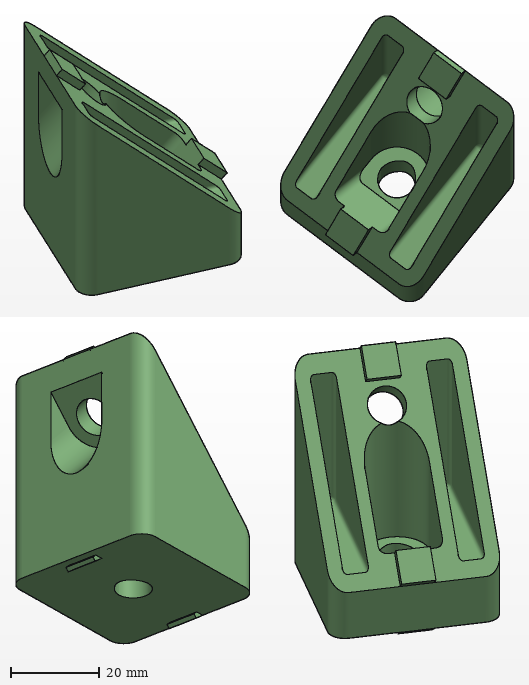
import cadquery as cq
import math

overall_height = 55.1
width = 40.0
depth = 40.0
corner_radius = 4.0

key_size = 8.0
key_thickness = 2.0

foot_drop = 1.7
foot_root = 2.15
foot_heel = 2.3
foot_tip_reach = 3.1
foot_tip_drop = 0.9
foot_pitch = 35.75

hole_diameter = 9.0
head_width = 15.0
slope_hole_distance = 14.0
slope_seat_thickness = 5.0
base_seat_thickness = 9.0
pocket_corner_radius = 2.0

hole_half_width = 4.35
hole_shoulder_offset = 0.4
hole_flank_half_width = 3.8
hole_flank_offset = 1.75
hole_nose_half_width = 2.3
hole_nose_offset = 3.5

slot_width = 6.0
slot_spacing = 27.0
slot_front = 3.45
slot_floor = 15.0
slot_radius = 1.0

diagonal = math.sqrt(0.5)
front_height = overall_height - foot_drop - key_thickness * diagonal
back_height = front_height - depth
slope_length = depth / diagonal


def slope_plane(distance):
    """Plane on the slope, at a distance down it from the top edge; local y points downhill."""
    along = distance * diagonal
    return cq.Plane(origin=(0, along, front_height - along), xDir=(1, 0, 0), normal=(0, 1, 1))


def extrude_across(points, span):
    """Extrude a (Y, Z) outline symmetrically about the X = 0 plane."""
    return cq.Workplane("YZ").polyline(points).close().extrude(span / 2, both=True)


def wedge_body():
    outline = [(0, 0), (depth, 0), (depth, back_height), (0, front_height)]
    return extrude_across(outline, width).edges("|Z").fillet(corner_radius)


def slope_key(distance):
    return cq.Workplane(slope_plane(distance)).box(
        key_size, key_size, key_thickness, centered=(True, True, False)
    )


def foot(root_y):
    outline = [
        (root_y, 0),
        (root_y - foot_heel, -foot_drop),
        (root_y - foot_tip_reach, -foot_tip_drop),
        (root_y - foot_root, 0),
    ]
    return extrude_across(outline, key_size)


def slope_screw_cut():
    """Hole square to the slope, with a head channel open to the tall face."""
    plane = cq.Workplane(slope_plane(slope_hole_distance))
    hole = plane.circle(hole_diameter / 2).extrude(-slope_length)
    seat = plane.workplane(offset=-slope_seat_thickness)
    round_end = seat.circle(head_width / 2).extrude(-slope_length)
    channel = seat.center(0, -slope_length / 2).rect(head_width, slope_length).extrude(-slope_length)
    return hole.union(round_end).union(channel)


def base_head_pocket():
    """Upright round-fronted pocket whose rear wall is square to the slope."""
    centre_y = depth / 2
    key_edge = slope_length - key_size
    wall_y = key_edge * diagonal
    wall_z = front_height - wall_y
    drop = wall_z - base_seat_thickness
    rise = front_height - wall_z
    outline = [
        (centre_y, base_seat_thickness),
        (wall_y - drop, base_seat_thickness),
        (wall_y + rise, front_height),
        (centre_y, front_height),
    ]
    rear = extrude_across(outline, head_width)
    rear = rear.edges(cq.selectors.ParallelDirSelector(cq.Vector(0, 1, 1))).fillet(pocket_corner_radius)
    half_width = head_width / 2
    front = (
        cq.Workplane("XY", origin=(0, centre_y, base_seat_thickness))
        .moveTo(-half_width, 0)
        .threePointArc((0, -half_width), (half_width, 0))
        .close()
        .extrude(front_height)
    )
    return rear.union(front)


def base_hole():
    """Egg-shaped hole through the base, its narrow end toward the tall face."""
    radius = hole_diameter / 2
    return (
        cq.Workplane("XY", origin=(0, depth / 2, 0))
        .moveTo(-hole_half_width, hole_shoulder_offset)
        .threePointArc((0, radius), (hole_half_width, hole_shoulder_offset))
        .threePointArc(
            (hole_flank_half_width, -hole_flank_offset), (hole_nose_half_width, -hole_nose_offset)
        )
        .threePointArc((0, -radius), (-hole_nose_half_width, -hole_nose_offset))
        .threePointArc(
            (-hole_flank_half_width, -hole_flank_offset), (-hole_half_width, hole_shoulder_offset)
        )
        .close()
        .extrude(front_height)
    )


def lightening_slot(centre_x):
    """Flat-floored slot that runs out through the slope at its rear end."""
    return (
        cq.Workplane("XY", origin=(centre_x, slot_front, slot_floor))
        .box(slot_width, depth, front_height, centered=(True, False, False))
        .edges("|Z or <Z")
        .fillet(slot_radius)
    )


result = wedge_body()
for key_centre in (key_size / 2, slope_length - key_size / 2):
    result = result.union(slope_key(key_centre))
for foot_y in (depth, depth - foot_pitch):
    result = result.union(foot(foot_y))
result = result.cut(slope_screw_cut()).cut(base_head_pocket()).cut(base_hole())
for side in (-1, 1):
    result = result.cut(lightening_slot(side * slot_spacing / 2))